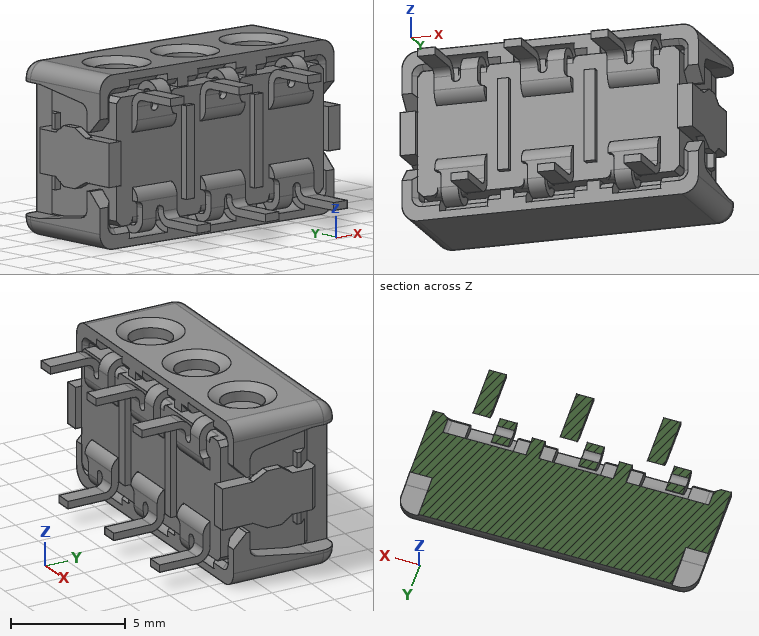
import cadquery as cq
import math


SHELL_WIDTH = 13.7
SHELL_HEIGHT = 7.75
SHELL_DEPTH = 5.3
SHELL_FILLET = 0.75
RECESS_WIDTH = 12.25
RECESS_HEIGHT = 5.97
RECESS_DEPTH = 0.92
RECESS_CORNER = 0.2
MOUTH_BEVEL_WIDTH = 0.26
MOUTH_BEVEL_DEPTH = 0.2
KEY_WIDTH = 0.6

PITCH = 4.0
POLE_X = [-PITCH, 0, PITCH]
BETWEEN_POLES_X = [-PITCH / 2, PITCH / 2]

HOLE_RADIUS = 1.0
HOLE_DEPTH = 0.75
FUNNEL_RADIUS = 1.51
FUNNEL_DEPTH = 0.27
HOLE_Y = 2.1

OPENING_X = 5.82
OPENING_BACK_Z = 2.99
OPENING_SLOPE_START_Y = 3.95
OPENING_SLOPE_END_Z = 2.5
OPENING_CORNER = 0.45
HOOK_BACK_Y = 0.84
HOOK_TIP_Y = 0.66
HOOK_TIP_Z = 1.32
HOOK_MOUTH_Z = HOOK_TIP_Z + HOOK_TIP_Y

BODY_WIDTH = 12.11
BODY_HEIGHT = 5.73
BODY_FRONT_Y = -0.2
BODY_BACK_Y = 4.3
BODY_CHAMFER = 0.25
BODY_TAPER_LENGTH = 0.26
BODY_TAPER_DEPTH = BODY_WIDTH / 2 - OPENING_X
TAPER_FRONT_Y = BODY_BACK_Y - BODY_TAPER_LENGTH
RIB_WIDTH = 0.5
RIB_HEIGHT = 4.16
RIB_FRONT_Y = -0.51

TAB_X = 6.75
TAB_HALF_HEIGHT = 0.99
BUMP_INNER_X = 6.38
BUMP_HALF_HEIGHT = 1.35
BUMP_BACK_Y = 3.03
BUMP_TOP_BACK_Y = 2.48
BUMP_TOP_FRONT_Y = 1.75
BUMP_FRONT_Y = 1.04
WEDGE_TOP_Z = 1.7
WEDGE_FRONT_Y = 3.47

METAL = 0.35
BEND_OUTER = 0.68
BEND_INNER = BEND_OUTER - METAL
BEND_AXIS_Y = BODY_FRONT_Y + BEND_INNER
PLATE_LEFT_X = -1.16
LEG_WIDTH = 0.8
TAIL_INNER_X = PLATE_LEFT_X + LEG_WIDTH
CLAW_INNER_X = 0.05
CLAW_OUTER_X = CLAW_INNER_X + LEG_WIDTH
ROLL_AXIS_Z = 1.82
SLOT_BOTTOM_Z = 2.14
PLATE_FILLET = 0.29
PLATE_RIGHT_X = CLAW_OUTER_X + PLATE_FILLET
CLAW_AXIS_Z = 2.65
TAIL_AXIS_Y = BODY_FRONT_Y - BEND_OUTER
TAIL_AXIS_Z = 2.41
TAIL_END_Y = -2.75

POCKET_WIDTH = 2.22
POCKET_RADIUS = 0.89
SEAT_LEFT_X = -0.15
SEAT_RIGHT_X = 1.12
SEAT_BOTTOM_Z = 2.53
SEAT_FLARE = 0.25


def block(x0, x1, y0, y1, z0, z1):
    return cq.Workplane("XY").box(x1 - x0, y1 - y0, z1 - z0, centered=False).translate((x0, y0, z0))


def x_cylinder(x0, x1, y, z, radius):
    return cq.Workplane("YZ", origin=(x0, y, z)).circle(radius).extrude(x1 - x0)


def turned(shape):
    """Half turn about the Y axis."""
    return shape.rotate((0, 0, 0), (0, 1, 0), 180)


def bend(x0, x1, y, z, y_range, z_range):
    """Part of a bent metal strip around an axis parallel to X."""
    ring = x_cylinder(x0, x1, y, z, BEND_OUTER).cut(x_cylinder(x0, x1, y, z, BEND_INNER))
    window = block(
        x0, x1,
        y + y_range[0] * BEND_OUTER, y + y_range[1] * BEND_OUTER,
        z + z_range[0] * BEND_OUTER, z + z_range[1] * BEND_OUTER,
    )
    return ring.intersect(window)


def make_mouth_recess():
    """Bevelled gap around the body at the shell mouth, interrupted by locating keys."""
    recess = (
        cq.Workplane("XZ")
        .rect(RECESS_WIDTH, RECESS_HEIGHT)
        .extrude(-RECESS_DEPTH)
        .edges("|Y")
        .fillet(RECESS_CORNER)
    )
    mouth_corner = RECESS_CORNER + MOUTH_BEVEL_WIDTH
    mouth = (
        cq.Workplane("XZ")
        .sketch()
        .rect(RECESS_WIDTH + 2 * MOUTH_BEVEL_WIDTH, RECESS_HEIGHT + 2 * MOUTH_BEVEL_WIDTH)
        .vertices()
        .fillet(mouth_corner)
        .finalize()
        .extrude(-MOUTH_BEVEL_DEPTH, taper=math.degrees(math.atan(MOUTH_BEVEL_WIDTH / MOUTH_BEVEL_DEPTH)))
    )
    recess = recess.union(mouth)
    key_outer_z = RECESS_HEIGHT / 2 + 2 * MOUTH_BEVEL_WIDTH
    for x in BETWEEN_POLES_X:
        key = block(
            x - KEY_WIDTH / 2, x + KEY_WIDTH / 2, 0, RECESS_DEPTH, BODY_HEIGHT / 2, key_outer_z
        )
        recess = recess.cut(key).cut(turned(key))
    return recess


def make_side_opening():
    """Opening through the -X wall, running out through the back."""
    slope_corner = (-(SHELL_WIDTH / 2 + OPENING_X) / 2, HOOK_BACK_Y, OPENING_SLOPE_END_Z)
    half = (
        cq.Workplane("YZ", origin=(-SHELL_WIDTH / 2, 0, 0))
        .moveTo(SHELL_DEPTH, 0)
        .lineTo(SHELL_DEPTH, OPENING_BACK_Z)
        .lineTo(OPENING_SLOPE_START_Y, OPENING_BACK_Z)
        .lineTo(HOOK_BACK_Y, OPENING_SLOPE_END_Z)
        .lineTo(HOOK_BACK_Y, HOOK_TIP_Z)
        .lineTo(HOOK_TIP_Y, HOOK_TIP_Z)
        .lineTo(0, HOOK_MOUTH_Z)
        .lineTo(0, 0)
        .close()
        .extrude(SHELL_WIDTH / 2 - OPENING_X)
        .edges(cq.selectors.NearestToPointSelector(slope_corner))
        .fillet(OPENING_CORNER)
    )
    return half.union(half.mirror("XY"))


def make_claw_pocket():
    """Rounded clearance around an upper claw, as deep as the mouth recess."""
    half_width = POCKET_WIDTH / 2
    window = block(-half_width, half_width, 0, RECESS_DEPTH, 0, SHELL_HEIGHT / 2)
    return x_cylinder(-half_width, half_width, BEND_AXIS_Y, CLAW_AXIS_Z, POCKET_RADIUS).intersect(window)


def make_shell():
    """Rounded shell with mouth recess, side openings, funnel holes and claw pockets."""
    shell = (
        block(
            -SHELL_WIDTH / 2, SHELL_WIDTH / 2, 0, SHELL_DEPTH, -SHELL_HEIGHT / 2, SHELL_HEIGHT / 2
        )
        .edges("|Y or >Y")
        .fillet(SHELL_FILLET)
        .cut(make_mouth_recess())
    )
    opening = make_side_opening()
    shell = shell.cut(opening).cut(turned(opening))
    claw_pocket = make_claw_pocket()
    for x in POLE_X:
        top = cq.Workplane("XY", origin=(x, HOLE_Y, SHELL_HEIGHT / 2))
        hole = top.circle(HOLE_RADIUS).extrude(-HOLE_DEPTH)
        funnel = (
            top.circle(FUNNEL_RADIUS)
            .workplane(offset=-FUNNEL_DEPTH)
            .circle(HOLE_RADIUS)
            .loft()
        )
        pocket = claw_pocket.translate((x, 0, 0))
        shell = shell.cut(hole).cut(funnel).cut(pocket).cut(pocket.mirror("XY"))
    return shell


def make_latch_tab():
    """Tab, snap bump and guide wedges on the -X side of the body."""
    side_x = -BODY_WIDTH / 2
    tab = (
        cq.Workplane("XY", origin=(0, 0, -TAB_HALF_HEIGHT))
        .polyline([
            (side_x, RIB_FRONT_Y),
            (-TAB_X, RIB_FRONT_Y),
            (-TAB_X, TAPER_FRONT_Y),
            (-TAB_X + BODY_TAPER_DEPTH, BODY_BACK_Y),
            (-OPENING_X, BODY_BACK_Y),
            (side_x, TAPER_FRONT_Y),
        ])
        .close()
        .extrude(2 * TAB_HALF_HEIGHT)
    )
    half_bump = (
        cq.Workplane("YZ", origin=(-TAB_X, 0, 0))
        .moveTo(BUMP_BACK_Y, 0)
        .lineTo(BUMP_BACK_Y, TAB_HALF_HEIGHT)
        .lineTo(BUMP_TOP_BACK_Y, BUMP_HALF_HEIGHT)
        .lineTo(BUMP_TOP_FRONT_Y, BUMP_HALF_HEIGHT)
        .lineTo(BUMP_FRONT_Y, TAB_HALF_HEIGHT)
        .lineTo(BUMP_FRONT_Y, 0)
        .close()
        .extrude(TAB_X - BUMP_INNER_X)
    )
    taper_slope = BODY_TAPER_LENGTH / BODY_TAPER_DEPTH
    wedge_crest_y = BODY_BACK_Y - taper_slope * (BUMP_INNER_X - OPENING_X)
    wedge = (
        cq.Workplane("XY", origin=(0, 0, -WEDGE_TOP_Z))
        .polyline([
            (side_x, WEDGE_FRONT_Y),
            (-BUMP_INNER_X, WEDGE_FRONT_Y),
            (-BUMP_INNER_X, wedge_crest_y),
            (side_x, TAPER_FRONT_Y),
        ])
        .close()
        .extrude(2 * WEDGE_TOP_Z)
    )
    return tab.union(half_bump).union(half_bump.mirror("XY")).union(wedge)


def make_claw_seat():
    """Material removed from the body's top front edge so the claw can wrap over it."""
    top_z = BODY_HEIGHT / 2
    radius = top_z - SEAT_BOTTOM_Z
    seat = block(
        SEAT_LEFT_X, SEAT_RIGHT_X, BODY_FRONT_Y, BODY_FRONT_Y + radius, SEAT_BOTTOM_Z, top_z
    )
    flare = block(
        SEAT_RIGHT_X, SEAT_RIGHT_X + SEAT_FLARE,
        BODY_FRONT_Y, BODY_FRONT_Y + radius, top_z - SEAT_FLARE, top_z,
    ).cut(
        cq.Workplane("XZ", origin=(SEAT_RIGHT_X + SEAT_FLARE, BODY_FRONT_Y, top_z - SEAT_FLARE))
        .circle(SEAT_FLARE)
        .extrude(-radius)
    )
    kept = x_cylinder(
        SEAT_LEFT_X, SEAT_RIGHT_X + SEAT_FLARE, BODY_FRONT_Y + radius, SEAT_BOTTOM_Z, radius
    )
    return seat.union(flare).cut(kept)


def make_body():
    """Insulating body with front ribs, claw seats and side latches."""
    half_width = BODY_WIDTH / 2
    body = (
        cq.Workplane("XY", origin=(0, 0, -BODY_HEIGHT / 2))
        .polyline([
            (-half_width, BODY_FRONT_Y),
            (half_width, BODY_FRONT_Y),
            (half_width, TAPER_FRONT_Y),
            (OPENING_X, BODY_BACK_Y),
            (-OPENING_X, BODY_BACK_Y),
            (-half_width, TAPER_FRONT_Y),
        ])
        .close()
        .extrude(BODY_HEIGHT)
    )
    front = (
        cq.Workplane("XZ", origin=(0, BODY_FRONT_Y, 0))
        .rect(BODY_WIDTH, BODY_HEIGHT)
        .extrude(BODY_FRONT_Y - RECESS_DEPTH)
    )
    body = body.cut(front).union(front.edges("|Y").chamfer(BODY_CHAMFER))
    seat = make_claw_seat()
    for x in POLE_X:
        body = body.cut(seat.translate((x, 0, 0))).cut(turned(seat).translate((x, 0, 0)))
    for x in BETWEEN_POLES_X:
        rib = block(
            x - RIB_WIDTH / 2, x + RIB_WIDTH / 2, RIB_FRONT_Y, BODY_FRONT_Y,
            -RIB_HEIGHT / 2, RIB_HEIGHT / 2,
        )
        body = body.union(rib)
    tab = make_latch_tab()
    return body.union(tab).union(turned(tab))


def make_terminal():
    """Upper terminal of one pole: rolled foot, front plate, solder tail and claw."""
    slot_radius = (CLAW_INNER_X - TAIL_INNER_X) / 2
    slot_spring_z = SLOT_BOTTOM_Z + slot_radius
    fillet_offset = PLATE_FILLET * (1 - math.sqrt(0.5))
    plate = (
        cq.Workplane("XZ", origin=(0, BODY_FRONT_Y, 0))
        .moveTo(PLATE_LEFT_X, ROLL_AXIS_Z)
        .lineTo(PLATE_RIGHT_X, ROLL_AXIS_Z)
        .threePointArc(
            (CLAW_OUTER_X + fillet_offset, ROLL_AXIS_Z + fillet_offset),
            (CLAW_OUTER_X, ROLL_AXIS_Z + PLATE_FILLET),
        )
        .lineTo(CLAW_OUTER_X, CLAW_AXIS_Z)
        .lineTo(CLAW_INNER_X, CLAW_AXIS_Z)
        .lineTo(CLAW_INNER_X, slot_spring_z)
        .threePointArc((CLAW_INNER_X - slot_radius, SLOT_BOTTOM_Z), (TAIL_INNER_X, slot_spring_z))
        .lineTo(TAIL_INNER_X, TAIL_AXIS_Z)
        .lineTo(PLATE_LEFT_X, TAIL_AXIS_Z)
        .close()
        .extrude(METAL)
    )
    foot = bend(PLATE_LEFT_X, PLATE_RIGHT_X, BEND_AXIS_Y, ROLL_AXIS_Z, (-1, 0), (-1, 0))
    claw = bend(CLAW_INNER_X, CLAW_OUTER_X, BEND_AXIS_Y, CLAW_AXIS_Z, (-1, 1), (0, 1))
    tail_bend = bend(PLATE_LEFT_X, TAIL_INNER_X, TAIL_AXIS_Y, TAIL_AXIS_Z, (0, 1), (0, 1))
    tail = block(
        PLATE_LEFT_X, TAIL_INNER_X, TAIL_END_Y, TAIL_AXIS_Y,
        TAIL_AXIS_Z + BEND_INNER, TAIL_AXIS_Z + BEND_OUTER,
    )
    return plate.union(foot).union(claw).union(tail_bend).union(tail)


result = make_shell().union(make_body())
terminal = make_terminal()
for pole_x in POLE_X:
    result = result.union(terminal.translate((pole_x, 0, 0)))
    result = result.union(turned(terminal).translate((pole_x, 0, 0)))